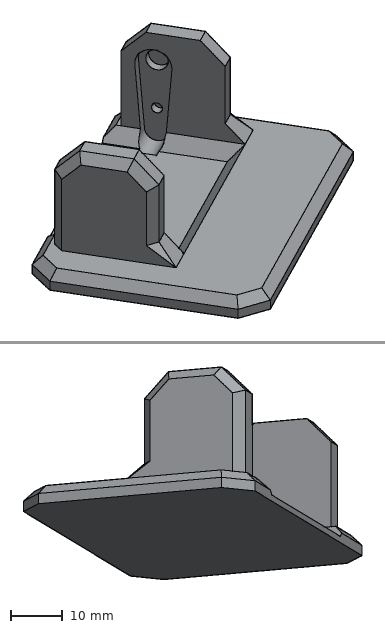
import cadquery as cq

plate_length = 48.0
plate_width = 68.0
plate_height = 4.0
corner_cut = 5.0
bevel = 2.0

recess_center_y = 1.35
recess_width = 42.6
recess_length = 28.0
recess_floor = 1.2
recess_depth = plate_height - recess_floor

ear_start = 3.0
ear_end = 24.0
ear_top = 26.0
ear_thickness = 5.6
foot_top = plate_height + recess_length - ear_end

groove_x = 9.5
groove_depth = 2.5
groove_top_diameter = 7.5
groove_top_z = 18.55
groove_bottom_diameter = 5.0
groove_bottom_z = 2.85
groove_run_out = 4.3

hole_depth = 2.0
large_hole_diameter = 4.5
small_hole_diameter = 2.2
small_hole_z = 7.7

inner_face_y = recess_center_y + recess_width / 2
groove_floor_y = inner_face_y + groove_depth


def make_plate():
    plate = cq.Workplane("XY").box(plate_length, plate_width, plate_height, centered=(False, True, False))
    return plate.edges("|Z").chamfer(corner_cut).faces(">Z").chamfer(bevel)


def make_recess():
    """Sloped-wall cutter whose -X wall lies outside the plate, leaving that side open."""
    length = recess_length + 2 * recess_depth
    return (
        cq.Workplane("XY", origin=(recess_length - length / 2, recess_center_y, recess_floor))
        .rect(length - 2 * recess_depth, recess_width - 2 * recess_depth)
        .workplane(offset=recess_depth)
        .rect(length, recess_width)
        .loft(ruled=True)
    )


def tetrahedron(a, b, c, d):
    corners = [cq.Vector(*point) for point in (a, b, c, d)]
    faces = []
    for skipped in range(len(corners)):
        triangle = corners[:skipped] + corners[skipped + 1:]
        faces.append(cq.Face.makeFromWires(cq.Wire.makePolygon(triangle, close=True)))
    return cq.Solid.makeSolid(cq.Shell.makeShell(faces))


def make_ear():
    """Ear with its inner face at Y = 0 and its bevelled outer face at +Y."""
    bottom = plate_height - bevel
    upright = (
        cq.Workplane("XY")
        .box(ear_end - ear_start, ear_thickness, ear_top - bottom, centered=False)
        .translate((ear_start, 0, bottom))
        .edges("|Y and >Z").chamfer(corner_cut)
        .faces(">Y").chamfer(bevel)
    )
    bevel_x = ear_end - bevel
    foot = (
        cq.Workplane("XZ")
        .polyline([
            (bevel_x, plate_height), (recess_length, plate_height),
            (ear_end, foot_top), (bevel_x, foot_top),
        ])
        .close()
        .extrude(-ear_thickness)
    )
    facet = tetrahedron(
        (ear_end, ear_thickness - bevel, foot_top),
        (bevel_x, ear_thickness, foot_top),
        (recess_length, ear_thickness, plate_height),
        (ear_end, ear_thickness, foot_top),
    )
    return upright.union(foot.cut(facet))


def cylinder_y(diameter, center_z, start_y, end_y):
    return (
        cq.Workplane("XZ", origin=(groove_x, start_y, center_z))
        .circle(diameter / 2)
        .extrude(start_y - end_y)
    )


def make_groove():
    """Tapered slot: two round lobes joined by their common tangents."""
    start_y = inner_face_y - groove_run_out
    top_radius = groove_top_diameter / 2
    bottom_radius = groove_bottom_diameter / 2
    sine = (top_radius - bottom_radius) / (groove_top_z - groove_bottom_z)
    cosine = (1 - sine**2) ** 0.5
    top_x = top_radius * cosine
    top_z = groove_top_z - top_radius * sine
    bottom_x = bottom_radius * cosine
    bottom_z = groove_bottom_z - bottom_radius * sine
    return (
        cq.Workplane("XZ", origin=(groove_x, start_y, 0))
        .moveTo(-top_x, top_z)
        .threePointArc((0, groove_top_z + top_radius), (top_x, top_z))
        .lineTo(bottom_x, bottom_z)
        .threePointArc((0, groove_bottom_z - bottom_radius), (-bottom_x, bottom_z))
        .close()
        .extrude(start_y - groove_floor_y)
    )


ear = make_ear()
result = make_plate().cut(make_recess())
result = result.union(ear.translate((0, inner_face_y, 0)))
result = result.union(ear.mirror("XZ").translate((0, recess_center_y - recess_width / 2, 0)))
result = result.cut(make_groove())

for diameter, center_z in ((large_hole_diameter, groove_top_z), (small_hole_diameter, small_hole_z)):
    hole = cylinder_y(diameter, center_z, groove_floor_y, groove_floor_y + hole_depth)
    result = result.cut(hole)